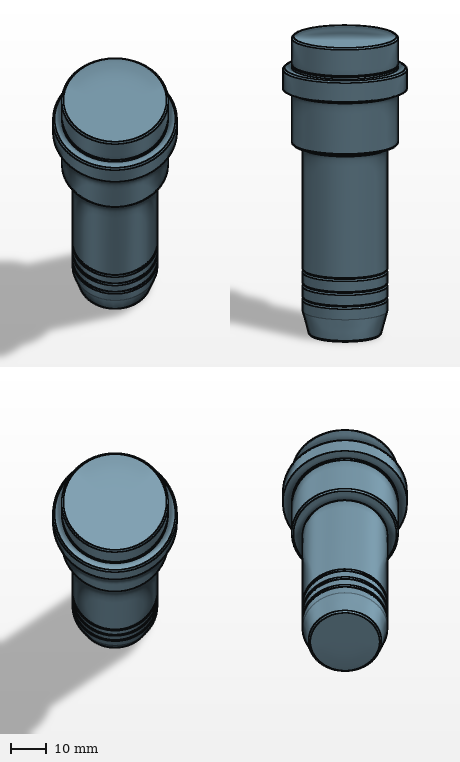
import cadquery as cq
import math

total_height = 86.0
shank_radius = 12.0
head_radius = 15.0
flange_radius = 17.5

flange_top = 77.0
flange_bottom = 71.0
head_bottom = 55.0

taper_height = 7.0
taper_angle = math.radians(15)
edge_chamfer = 0.5

groove_width = 1.0
groove_depth = groove_width / 2
groove_pitch = 4.0
groove_count = 3
lowest_groove_bottom = 10.0

relief_width = 1.0
relief_depth = 0.25

neck_width = 1.0
neck_depth = 0.5
neck_radius = shank_radius - neck_depth


def cylinder(radius, bottom, top):
    return cq.Workplane("XY").workplane(offset=bottom).circle(radius).extrude(top - bottom)


def ring(section):
    """Revolve a closed (radius, height) outline about the Z axis."""
    return cq.Workplane("XZ").polyline(section).close().revolve(360, (0, 0, 0), (0, 1, 0))


def v_groove(surface_radius, bottom, depth, width):
    """Ring with a triangular section that cuts inward from the surface."""
    return ring([
        (surface_radius, bottom),
        (surface_radius - depth, bottom + width / 2),
        (surface_radius, bottom + width),
    ])


def make_tip():
    """Conical lead-in with a 45 degree chamfer at its small end."""
    taper_end_radius = shank_radius - (taper_height - edge_chamfer) * math.tan(taper_angle)
    return ring([
        (0, 0),
        (taper_end_radius - edge_chamfer, 0),
        (taper_end_radius, edge_chamfer),
        (shank_radius, taper_height),
        (0, taper_height),
    ])


def make_shank():
    """Cylinder with evenly spaced V grooves, ending in the neck."""
    shank_top = head_bottom - neck_width
    shank = cylinder(shank_radius, taper_height, shank_top)
    for index in range(groove_count):
        bottom = lowest_groove_bottom + index * groove_pitch
        shank = shank.cut(v_groove(shank_radius, bottom, groove_depth, groove_width))
    return shank.union(cylinder(neck_radius, shank_top, head_bottom))


def make_head():
    """Chamfered head with a flange and a relief on each side of the flange."""
    head = cylinder(head_radius, head_bottom, total_height).faces("<Z or >Z").chamfer(edge_chamfer)
    for bottom in (flange_top, flange_bottom - relief_width):
        head = head.cut(v_groove(head_radius, bottom, relief_depth, relief_width))
    flange = cylinder(flange_radius, flange_bottom, flange_top).faces(">Z").chamfer(edge_chamfer)
    return head.union(flange)


result = make_tip().union(make_shank()).union(make_head())